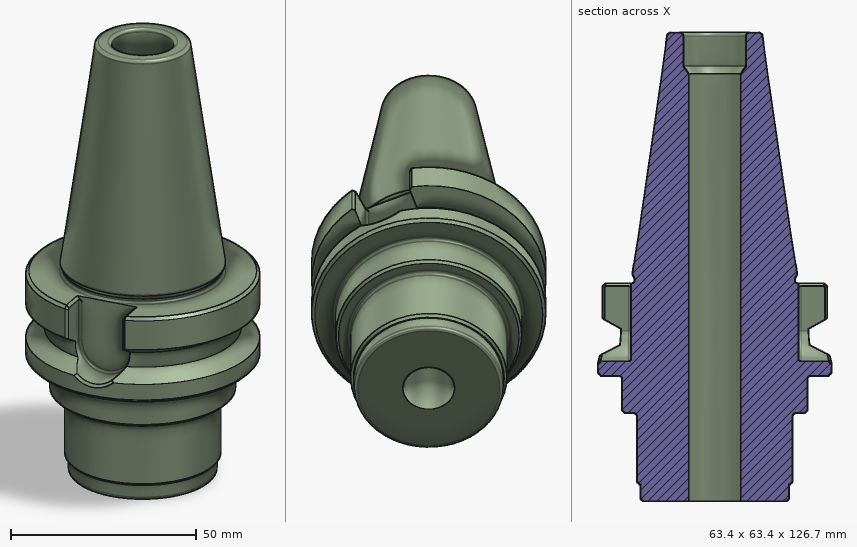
import cadquery as cq
import math

SKIN_THICKNESS = 0.15

TOTAL_LENGTH = 126.7
COLLAR_TOP = 4.5
SHOULDER_BOTTOM = 23.8
FLANGE_BOTTOM = 33.8
GROOVE_BOTTOM = 42.3
GROOVE_TOP = 46.6
FLANGE_TOP = 59.0
NECK_TOP = 60.2
GAUGE_LAND_BOTTOM = 61.3
GAUGE_HEIGHT = 61.7
SOCKET_FLOOR = 117.6

COLLAR_DIAMETER = 40.3
NOSE_DIAMETER = 42.3
SHOULDER_DIAMETER = 50.3
FLANGE_DIAMETER = 63.4
GROOVE_DIAMETER = 53.3
NECK_DIAMETER = 43.6
GAUGE_DIAMETER = 44.7
BORE_DIAMETER = 13.8
SOCKET_DIAMETER = 16.7

TAPER_RATIO = 7 / 24

FLANK_ANGLE = 30.0
SOCKET_FLOOR_ANGLE = 55.0

FLANK_RISE = (FLANGE_DIAMETER - GROOVE_DIAMETER) / 2 * math.tan(math.radians(FLANK_ANGLE))
LOWER_RIM_TOP = GROOVE_BOTTOM - FLANK_RISE
UPPER_RIM_BOTTOM = GROOVE_TOP + FLANK_RISE

COLLAR_FILLET = 1.0
NOSE_CHAMFER = 0.8
NOSE_ROOT_FILLET = 0.9
SHOULDER_CHAMFER = 0.8
SHOULDER_ROOT_FILLET = 0.8
FLANGE_CHAMFER = 0.9
NECK_ROOT_FILLET = 0.6
TOP_FILLET = 1.0
SOCKET_FILLET = 1.0

SLOT_COUNT = 2
SLOT_WIDTH = 16.1
SLOT_END_HEIGHT = 38.0
SLOT_FLOOR_DISTANCE = 22.7
SLOT_FLOOR_FILLET = 0.6
SLOT_CHAMFER = 0.8

SELECT_MARGIN = 0.1


def outside_profile():
    """Half section of the finished holder, from the bore wall outwards."""
    bore_r = BORE_DIAMETER / 2
    socket_r = SOCKET_DIAMETER / 2
    collar_r = COLLAR_DIAMETER / 2
    nose_r = NOSE_DIAMETER / 2
    shoulder_r = SHOULDER_DIAMETER / 2
    flange_r = FLANGE_DIAMETER / 2
    groove_r = GROOVE_DIAMETER / 2
    neck_r = NECK_DIAMETER / 2
    gauge_r = GAUGE_DIAMETER / 2
    fillet_base = TOTAL_LENGTH - TOP_FILLET
    fillet_base_r = gauge_r - TAPER_RATIO / 2 * (fillet_base - GAUGE_HEIGHT)
    floor_drop = (socket_r - bore_r) * math.tan(math.radians(SOCKET_FLOOR_ANGLE))
    return (
        cq.Workplane("XZ")
        .moveTo(bore_r, 0)
        .lineTo(collar_r - COLLAR_FILLET, 0)
        .tangentArcPoint((collar_r, COLLAR_FILLET), relative=False)
        .lineTo(collar_r, COLLAR_TOP)
        .lineTo(nose_r - NOSE_CHAMFER, COLLAR_TOP)
        .lineTo(nose_r, COLLAR_TOP + NOSE_CHAMFER)
        .lineTo(nose_r, SHOULDER_BOTTOM - NOSE_ROOT_FILLET)
        .tangentArcPoint((nose_r + NOSE_ROOT_FILLET, SHOULDER_BOTTOM), relative=False)
        .lineTo(shoulder_r - SHOULDER_CHAMFER, SHOULDER_BOTTOM)
        .lineTo(shoulder_r, SHOULDER_BOTTOM + SHOULDER_CHAMFER)
        .lineTo(shoulder_r, FLANGE_BOTTOM - SHOULDER_ROOT_FILLET)
        .tangentArcPoint((shoulder_r + SHOULDER_ROOT_FILLET, FLANGE_BOTTOM), relative=False)
        .lineTo(flange_r - FLANGE_CHAMFER, FLANGE_BOTTOM)
        .lineTo(flange_r, FLANGE_BOTTOM + FLANGE_CHAMFER)
        .lineTo(flange_r, LOWER_RIM_TOP)
        .lineTo(groove_r, GROOVE_BOTTOM)
        .lineTo(groove_r, GROOVE_TOP)
        .lineTo(flange_r, UPPER_RIM_BOTTOM)
        .lineTo(flange_r, FLANGE_TOP - FLANGE_CHAMFER)
        .lineTo(flange_r - FLANGE_CHAMFER, FLANGE_TOP)
        .lineTo(neck_r + NECK_ROOT_FILLET, FLANGE_TOP)
        .tangentArcPoint((neck_r, FLANGE_TOP + NECK_ROOT_FILLET), relative=False)
        .lineTo(neck_r, NECK_TOP)
        .lineTo(gauge_r, GAUGE_LAND_BOTTOM)
        .lineTo(gauge_r, GAUGE_HEIGHT)
        .lineTo(fillet_base_r, fillet_base)
        .tangentArcPoint((fillet_base_r - TOP_FILLET, TOTAL_LENGTH), relative=False)
        .lineTo(socket_r + SOCKET_FILLET, TOTAL_LENGTH)
        .tangentArcPoint((socket_r, TOTAL_LENGTH - SOCKET_FILLET), relative=False)
        .lineTo(socket_r, SOCKET_FLOOR)
        .lineTo(bore_r, SOCKET_FLOOR - floor_drop)
        .close()
    )


def slot_cutter(inset):
    """Round-ended drive slot on the -Y side, widened and deepened by the inset."""
    half_width = SLOT_WIDTH / 2 + inset
    centre_height = SLOT_END_HEIGHT + SLOT_WIDTH / 2
    floor_distance = SLOT_FLOOR_DISTANCE - inset
    open_end = FLANGE_TOP + SLOT_WIDTH
    return (
        cq.Workplane("XZ", origin=(0, -floor_distance, 0))
        .moveTo(-half_width, open_end)
        .lineTo(-half_width, centre_height)
        .threePointArc((0, centre_height - half_width), (half_width, centre_height))
        .lineTo(half_width, open_end)
        .close()
        .extrude(FLANGE_DIAMETER)
    )


def slot_rim(inset):
    """Selects the outer and top edges of the slot on the -Y side by their centres."""
    reach_x = SLOT_WIDTH / 2 + inset + SELECT_MARGIN
    outer_y = -FLANGE_DIAMETER / 2
    inner_y = inset - SLOT_FLOOR_DISTANCE - SELECT_MARGIN
    upper_rim = cq.selectors.BoxSelector(
        (-reach_x, outer_y, UPPER_RIM_BOTTOM),
        (reach_x, inner_y, FLANGE_TOP + SELECT_MARGIN),
    )
    lower_rim = cq.selectors.BoxSelector(
        (-reach_x, outer_y, SLOT_END_HEIGHT - inset),
        (reach_x, inner_y, LOWER_RIM_TOP),
    )
    return upper_rim + lower_rim


def slot_floor_edges(inset):
    """Selects the edges where the walls of the slot on the -Y side meet its floor."""
    reach_x = SLOT_WIDTH / 2 + inset + SELECT_MARGIN
    floor_y = inset - SLOT_FLOOR_DISTANCE
    return cq.selectors.BoxSelector(
        (-reach_x, floor_y - SELECT_MARGIN, SLOT_END_HEIGHT - inset - SELECT_MARGIN),
        (reach_x, floor_y + SELECT_MARGIN, FLANGE_TOP - inset - SLOT_CHAMFER + SELECT_MARGIN),
        boundingbox=True,
    )


def make_envelope(inset):
    """Complete holder shape with every surface set back by the inset."""
    profile = outside_profile()
    if inset > 0:
        profile = profile.offset2D(-inset, "intersection")
    body = profile.revolve(360, (0, 0, 0), (0, 1, 0))
    for _ in range(SLOT_COUNT):
        body = body.cut(slot_cutter(inset))
        body = body.edges(slot_rim(inset)).chamfer(SLOT_CHAMFER)
        body = body.edges(slot_floor_edges(inset)).fillet(SLOT_FLOOR_FILLET + inset)
        body = body.rotate((0, 0, 0), (0, 0, 1), 360 / SLOT_COUNT)
    return body


def make_core():
    return make_envelope(SKIN_THICKNESS)


def make_skin(core):
    """Thin layer that covers the core on all sides."""
    return make_envelope(0).cut(core)


core = make_core()
skin = make_skin(core)

result = cq.Compound.makeCompound([core.val(), *skin.solids().vals()])